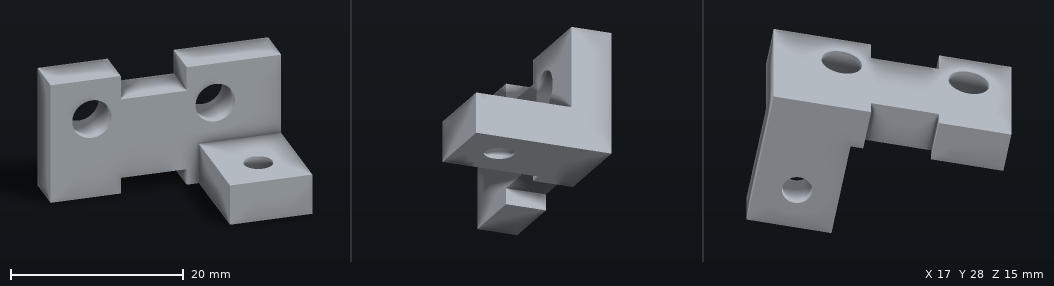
import cadquery as cq

length = 28.0
height = 15.0
thickness = 5.0

notch_width = 8.0
notch_start = 8.5
top_notch_depth = 3.0
bottom_notch_depth = 2.0

plate_hole_diameter = 4.8
plate_hole_height = 10.0
front_hole_offset = 5.0
rear_hole_offset = 8.0

overall_width = 17.0
foot_length = 10.0
foot_hole_diameter = 3.5
foot_hole_edge_offset = 5.0


def corner_box(size, corner):
    """Box of the given size with its lowest corner at the given point."""
    return cq.Workplane("XY").box(*size, centered=False).translate(corner)


def plate_hole(y):
    """Cylinder through the plate thickness at position y."""
    return (
        cq.Workplane("YZ")
        .center(y, plate_hole_height)
        .circle(plate_hole_diameter / 2)
        .extrude(thickness)
    )


def make_plate():
    plate = corner_box((thickness, length, height), (0, 0, 0))
    for depth, base in (
        (top_notch_depth, height - top_notch_depth),
        (bottom_notch_depth, 0),
    ):
        plate = plate.cut(corner_box((thickness, notch_width, depth), (0, notch_start, base)))
    for y in (front_hole_offset, length - rear_hole_offset):
        plate = plate.cut(plate_hole(y))
    return plate


def make_foot():
    foot_width = overall_width - thickness
    foot = corner_box((foot_width, foot_length, thickness), (thickness, length - foot_length, 0))
    hole = (
        cq.Workplane("XY")
        .center(overall_width - foot_hole_edge_offset, length - foot_length / 2)
        .circle(foot_hole_diameter / 2)
        .extrude(thickness)
    )
    return foot.cut(hole)


result = make_plate().union(make_foot())